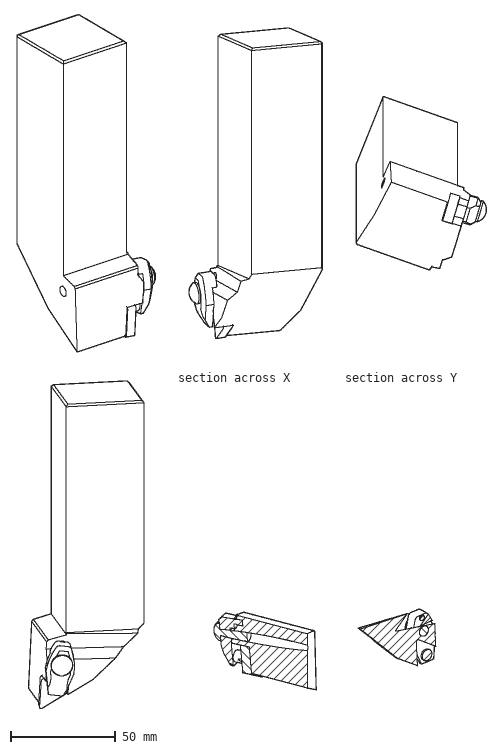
import cadquery as cq
import math


SHANK = 38.1
SHANK_CHAMFER = 1.0
BACK_EDGE_DEPTH = 110.7
KNEE = (25.8, 136.5)
HEAD_TIP = (49.2, 150.85)
SHOULDER_DEPTH = 114.3
SHOULDER_X = 47.6
SHOULDER_ANGLE = 15
SHOULDER_CHAMFER = 0.8

RAKE = math.tan(math.radians(5))
HEAD_CORNER = (3.8, 41.95, -114.5)
CLIFF_LEAN = math.tan(math.radians(15))
RAMP_FOOT = 6.7
RAMP_CREST = 11.0
RAMP_RISE = 3.8
HEAD_BLANK_HEIGHT = 48.0
REACH = 60.0

INSERT_TIP = (50.37, 33.7, -152.59)
INSERT_ANGLE = 55
INSERT_LEAD = 3
INSCRIBED_CIRCLE = 12.7
INSERT_THICKNESS = 4.76
NOSE_RADIUS = 0.8
SEAT_CHAMFER = 0.4

SCREW_ENTRY = (37.9, 122.75)
CLAMP_TURN = 8
CLAMP_HALF_WIDTH = 6.8
CLAMP_WIDEST = 4.5
CLAMP_SIDE_HEIGHT = 4.0
CLAMP_HEIGHT = 5.9
HEEL_END = 9.0
HEEL_HALF_WIDTH = 3.2
HEEL_FRONT = 3.5
HEEL_ROUND = 2.0
HEEL_DROP = 2.4
FLANK_POINT = (-4.5, 5.2)
CREST_FRONT = 9.0
NOSE_END = 17.2
NOSE_HALF_WIDTH = 3.5
NOSE_TIP_HEIGHT = 1.6
FOOT_RADIUS = 3.0
FOOT_CENTRE = 13.5
FOOT_LENGTH = 6.0
PIN_RADIUS = 1.4
PIN_CENTRE = 7.4
PIN_LENGTH = 4.5

SCREW_RADIUS = 2.5
SCREW_DEPTH = 9.0
SCREW_HEAD_RADIUS = 5.2
SCREW_HEAD_SIDE = 1.0
SCREW_HEAD_HEIGHT = 3.84

TILT_NORMAL = cq.Vector(RAKE, 1, -RAKE)
TILT_X = cq.Vector(1, -RAKE, 0)


def tilted(origin, turn=0):
    """Workplane parallel to the tilted head face, turned about its normal."""
    plane = cq.Plane(origin=origin, xDir=TILT_X, normal=TILT_NORMAL)
    return cq.Workplane(plane.rotated((0, 0, turn)))


def low_face_height(x, depth):
    """Y of the low head face above a given X and depth."""
    corner_x, corner_y, corner_z = HEAD_CORNER
    return corner_y - RAKE * (x - corner_x) - RAKE * (depth + corner_z)


def screw_seat():
    """Point where the screw axis leaves the raised head face."""
    entry_x, entry_depth = SCREW_ENTRY
    slope = 1 + 2 * RAKE ** 2
    raised = low_face_height(entry_x, entry_depth) + RAMP_RISE * math.sqrt(slope)
    y = raised / slope
    return (entry_x + RAKE * y, y, -entry_depth - RAKE * y)


SEAT = screw_seat()


def holder_blank():
    shoulder_drop = (SHOULDER_X - SHANK) * math.tan(math.radians(SHOULDER_ANGLE))
    outline = [
        (0, 0),
        (SHANK, 0),
        (SHANK, SHOULDER_DEPTH),
        (SHOULDER_X, SHOULDER_DEPTH + shoulder_drop),
        HEAD_TIP,
        KNEE,
        (0, BACK_EDGE_DEPTH),
    ]
    blank = (
        cq.Workplane("XZ")
        .polyline([(x, -depth) for x, depth in outline])
        .close()
        .extrude(-HEAD_BLANK_HEIGHT)
    )
    shoulder = cq.selectors.NearestToPointSelector(
        (SHOULDER_X, HEAD_BLANK_HEIGHT / 2, -SHOULDER_DEPTH - shoulder_drop)
    )
    return blank.edges(shoulder).chamfer(SHOULDER_CHAMFER)


def shank_clearance():
    """Space above the shank, ending at the leaning cliff of the head."""
    cliff_y, cliff_z = HEAD_CORNER[1], HEAD_CORNER[2]
    base_z = cliff_z + (cliff_y - SHANK) * CLIFF_LEAN
    top_z = cliff_z - (HEAD_BLANK_HEIGHT - cliff_y) * CLIFF_LEAN
    return (
        cq.Workplane("YZ")
        .polyline([(SHANK, 0), (SHANK, base_z), (HEAD_BLANK_HEIGHT, top_z), (HEAD_BLANK_HEIGHT, 0)])
        .close()
        .extrude(REACH)
    )


def head_clearance():
    """Space above the low head face, the ramp and the raised head face."""
    profile = [
        (-RAMP_FOOT, 0),
        (RAMP_FOOT, 0),
        (RAMP_CREST, RAMP_RISE),
        (REACH, RAMP_RISE),
        (REACH, REACH),
        (-RAMP_FOOT, REACH),
    ]
    plane = cq.Plane(origin=HEAD_CORNER, xDir=TILT_X.cross(TILT_NORMAL) * -1, normal=TILT_X)
    return cq.Workplane(plane).polyline(profile).close().extrude(REACH, both=True)


def chamfer_shank(body):
    body = body.faces(">Z").edges().chamfer(SHANK_CHAMFER)
    front_edge = cq.selectors.NearestToPointSelector((0, 0, -BACK_EDGE_DEPTH / 2))
    return body.edges(front_edge).chamfer(SHANK_CHAMFER)


def screw_hole():
    return tilted(SEAT).circle(SCREW_RADIUS).extrude(-REACH)


def chamfer_seat(body):
    """Break the edge between the insert seat and the lower face of the head."""
    tip_x, tip_depth = HEAD_TIP
    knee_x, knee_depth = KNEE
    seat_y = INSERT_TIP[1] - INSERT_THICKNESS
    near = ((tip_x * 3 + knee_x) / 4, seat_y, -(tip_depth * 3 + knee_depth) / 4)
    return body.edges(cq.selectors.NearestToPointSelector(near)).chamfer(SEAT_CHAMFER)


def insert_outline(height):
    """Rhombus with rounded corners, grown outward from the insert seat."""
    edge = INSCRIBED_CIRCLE / math.sin(math.radians(INSERT_ANGLE))

    def along(angle):
        return (-edge * math.sin(math.radians(angle)), -edge * math.cos(math.radians(angle)))

    side_up = along(INSERT_LEAD)
    side_back = along(INSERT_LEAD + INSERT_ANGLE)
    far = (side_up[0] + side_back[0], side_up[1] + side_back[1])
    return (
        tilted(INSERT_TIP)
        .workplane(offset=-INSERT_THICKNESS)
        .polyline([(0, 0), side_up, far, side_back])
        .close()
        .extrude(height)
        .edges(cq.selectors.ParallelDirSelector(TILT_NORMAL))
        .fillet(NOSE_RADIUS)
    )


def clamp_plane():
    return tilted(SEAT, 90 - CLAMP_TURN)


def clamp_plan():
    flank_u, flank_v = FLANK_POINT
    plan = (
        clamp_plane()
        .workplane(offset=-HEEL_DROP)
        .moveTo(-HEEL_END, -HEEL_HALF_WIDTH)
        .threePointArc((flank_u, -flank_v), (CLAMP_WIDEST, -CLAMP_HALF_WIDTH))
        .lineTo(NOSE_END, -NOSE_HALF_WIDTH)
        .lineTo(NOSE_END, NOSE_HALF_WIDTH)
        .lineTo(CLAMP_WIDEST, CLAMP_HALF_WIDTH)
        .threePointArc((flank_u, flank_v), (-HEEL_END, HEEL_HALF_WIDTH))
        .close()
        .extrude(HEEL_DROP + CLAMP_HEIGHT)
    )
    heel_side = cq.selectors.DirectionMinMaxSelector(clamp_plane().plane.xDir, directionMax=False)
    corners = cq.selectors.ParallelDirSelector(TILT_NORMAL)
    return plan.faces(heel_side).edges(corners).fillet(HEEL_ROUND)


def clamp_side():
    """Side profile: heel at the back, sloping nose at the front."""
    frame = clamp_plane().plane
    side = cq.Plane(origin=SEAT, xDir=frame.xDir, normal=frame.yDir * -1)
    return (
        cq.Workplane(side)
        .moveTo(-HEEL_END, -HEEL_DROP)
        .lineTo(-HEEL_END, CLAMP_HEIGHT)
        .lineTo(CREST_FRONT, CLAMP_HEIGHT)
        .lineTo(NOSE_END, NOSE_TIP_HEIGHT)
        .lineTo(NOSE_END, 0)
        .lineTo(-HEEL_FRONT, 0)
        .lineTo(-HEEL_FRONT, -HEEL_DROP)
        .close()
        .extrude(REACH, both=True)
    )


def clamp_body():
    body = clamp_plan().intersect(clamp_side())
    top_edges = body.faces(cq.selectors.DirectionMinMaxSelector(TILT_NORMAL)).edges()
    return top_edges.chamfer(CLAMP_HEIGHT - CLAMP_SIDE_HEIGHT)


def clamp_pin():
    return (
        clamp_plane()
        .workplane(offset=-HEEL_DROP)
        .center(-PIN_CENTRE, 0)
        .circle(PIN_RADIUS)
        .extrude(-PIN_LENGTH)
    )


def clamp_foot():
    """Post that presses on the middle of the insert."""
    return clamp_plane().center(FOOT_CENTRE, 0).circle(FOOT_RADIUS).extrude(-FOOT_LENGTH)


def make_screw():
    shank = tilted(SEAT).workplane(offset=-SCREW_DEPTH).circle(SCREW_RADIUS)
    shank = shank.extrude(SCREW_DEPTH + CLAMP_HEIGHT)
    seat = tilted(SEAT).workplane(offset=CLAMP_HEIGHT).plane
    profile_plane = cq.Plane(origin=seat.origin, xDir=TILT_X, normal=TILT_X.cross(TILT_NORMAL))
    dome_rise = SCREW_HEAD_HEIGHT - SCREW_HEAD_SIDE
    dome_radius = (SCREW_HEAD_RADIUS ** 2 + dome_rise ** 2) / (2 * dome_rise)
    half_x = SCREW_HEAD_RADIUS / 2
    half_y = SCREW_HEAD_HEIGHT - dome_radius + math.sqrt(dome_radius ** 2 - half_x ** 2)
    head = (
        cq.Workplane(profile_plane)
        .lineTo(SCREW_HEAD_RADIUS, 0)
        .lineTo(SCREW_HEAD_RADIUS, SCREW_HEAD_SIDE)
        .threePointArc((half_x, half_y), (0, SCREW_HEAD_HEIGHT))
        .close()
        .revolve(360, (0, 0), (0, 1))
    )
    return shank.union(head)


insert = insert_outline(INSERT_THICKNESS)
holder = chamfer_shank(holder_blank().cut(shank_clearance()).cut(head_clearance()))
holder = holder.cut(screw_hole()).cut(clamp_pin())
holder = chamfer_seat(holder.cut(insert_outline(REACH)))
screw = make_screw()
clamp = clamp_body().union(clamp_foot())
clamp = clamp.cut(holder).cut(insert).union(clamp_pin()).cut(screw)

result = cq.Compound.makeCompound([holder.val(), insert.val(), clamp.val(), screw.val()])